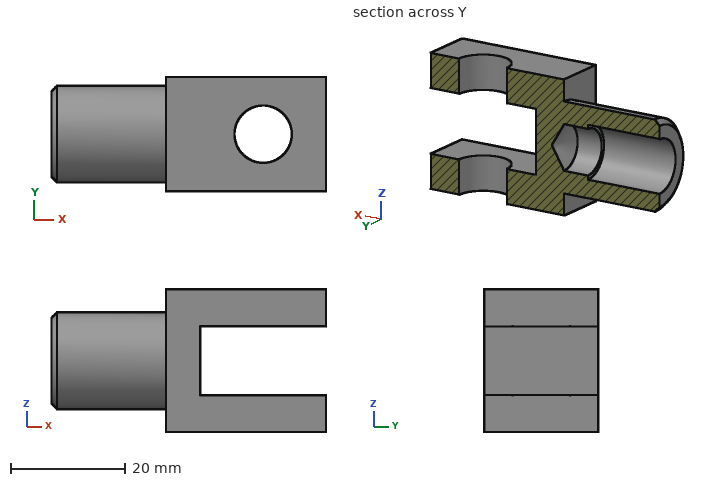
import cadquery as cq
import math

total_length = 48.0
body_width = 20.0
body_height = 25.0

stem_length = 20.0
stem_diameter = 17.0
stem_chamfer = 1.0

slot_height = 12.0
slot_depth = 22.0

pin_diameter = 10.0
pin_end_distance = 11.0

bore_diameter = 10.0
bore_depth = 15.0
pilot_diameter = 8.5
pilot_depth = 20.0
drill_point_angle = 118.0


def make_body():
    """Block that carries the fork, centred on the X axis."""
    body_length = total_length - stem_length
    return (
        cq.Workplane("XY")
        .box(body_length, body_width, body_height, centered=(False, True, True))
        .translate((stem_length, 0, 0))
    )


def make_stem():
    """Round stem from X = 0 to the block, chamfered at its free end."""
    return (
        cq.Workplane("YZ")
        .circle(stem_diameter / 2)
        .extrude(stem_length)
        .faces("<X")
        .chamfer(stem_chamfer)
    )


def make_slot():
    """Rectangular gap between the two fork arms."""
    return (
        cq.Workplane("XY")
        .box(slot_depth, body_width, slot_height, centered=(False, True, True))
        .translate((total_length - slot_depth, 0, 0))
    )


def make_pin_hole():
    """Vertical hole through both fork arms."""
    return (
        cq.Workplane("XY")
        .center(total_length - pin_end_distance, 0)
        .circle(pin_diameter / 2)
        .extrude(body_height / 2, both=True)
    )


def make_bore():
    """Half section of the stepped bore, revolved about the X axis."""
    bore_radius = bore_diameter / 2
    pilot_radius = pilot_diameter / 2
    point_length = pilot_radius / math.tan(math.radians(drill_point_angle / 2))
    return (
        cq.Workplane("XY")
        .lineTo(0, bore_radius)
        .lineTo(bore_depth, bore_radius)
        .lineTo(bore_depth, pilot_radius)
        .lineTo(pilot_depth, pilot_radius)
        .lineTo(pilot_depth + point_length, 0)
        .close()
        .revolve(360, (0, 0, 0), (1, 0, 0))
    )


result = (
    make_body()
    .union(make_stem())
    .cut(make_slot())
    .cut(make_pin_hole())
    .cut(make_bore())
)